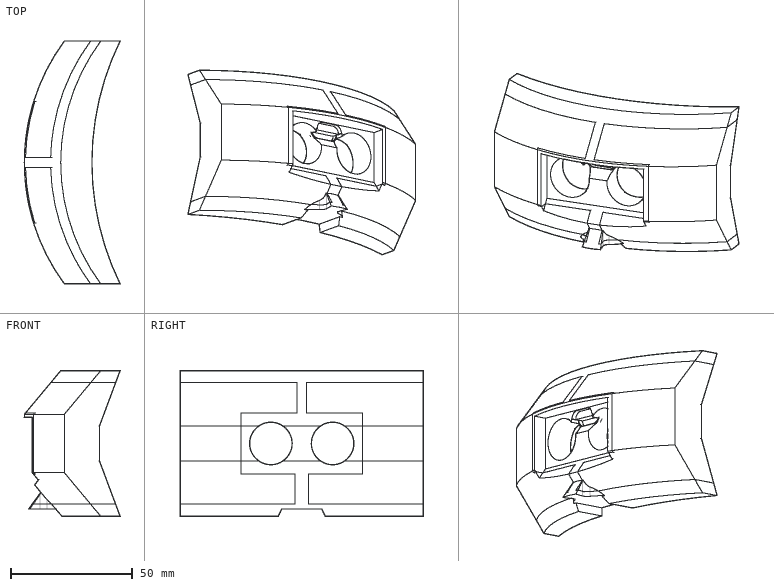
import cadquery as cq
import math

width = 100.0
height = 60.0
half_width = width / 2
half_height = height / 2

outer_radius = 84.0
outer_band_half_height = 12.0
outer_flare = 15.0

inner_radius = 113.5
inner_middle_x = 19.4
inner_band_half_height = 7.2
inner_flare = 8.5

front_limit_x = -10.0
back_limit_x = 60.0

band_edge = 25.0
window_half_width = 25.0
window_half_height = 12.6
upper_web_width = 4.0
lower_web_width = 5.6

pocket_width = 46.1
pocket_half_height = 10.7
pocket_back_x = 9.1
pocket_floor_slope = 0.76
pocket_floor_drop = 12.0
bore_diameter = 17.4
bore_spacing = 25.4

recess_width = 13.1
recess_top = 7.5
recess_wall_bottom = 4.5
recess_bottom = 0.84
recess_depth = recess_wall_bottom - recess_bottom
slot_length = 12.4
slot_height = 5.9
slot_centre_z = 7.55
slot_depth = 2.0

nose_bottom = -27.0
nose_top = -19.0
nose_tip_x = 1.75
ridge_slope = 0.725
ridge_radius = 17.0
ridge_half_width = 4.2
neck_end_x = 10.0
neck_end_half_width = 2.6
neck_fillet = 2.5
nose_barrel_radius = 12.4
nose_barrel_x = 20.8
nose_back_x = 13.2
notch_roof_half_width = 8.2
notch_mouth_half_width = 9.64


def arc_face(front_x, radius, half_span, back_x, z):
    """Level face from an arc bulging toward -X to a straight back edge."""
    end_x = front_x + radius - math.sqrt(radius**2 - half_span**2)
    outline = (
        cq.Workplane("XY", origin=(0, 0, z))
        .moveTo(end_x, -half_span)
        .threePointArc((front_x, 0), (end_x, half_span))
        .lineTo(back_x, half_span)
        .lineTo(back_x, -half_span)
        .close()
    )
    return cq.Face.makeFromWires(outline.val())


def flared_block(middle_x, radius, band_half_height, flare):
    """Everything behind a curved surface that is upright in its middle band and leans back beyond it."""
    flare_height = half_height - band_half_height
    upper_face = arc_face(middle_x, radius, half_width, back_limit_x, band_half_height)
    lower_face = arc_face(middle_x, radius, half_width, back_limit_x, -band_half_height)
    band = cq.Solid.extrudeLinear(lower_face, cq.Vector(0, 0, 2 * band_half_height))
    upper = cq.Solid.extrudeLinear(upper_face, cq.Vector(flare, 0, flare_height))
    lower = cq.Solid.extrudeLinear(lower_face, cq.Vector(flare, 0, -flare_height))
    return cq.Workplane(band).union(cq.Workplane(upper)).union(cq.Workplane(lower))


def block_from_front(end_x, size_y, bottom, top):
    """Block symmetric about the centre plane, running back to end_x from in front of the part."""
    block = cq.Workplane("XY").box(end_x - front_limit_x, size_y, top - bottom, centered=(False, True, False))
    return block.translate((front_limit_x, 0, bottom))


def prism_along_y(points, size_y):
    """Prism with an X-Z outline, symmetric about the centre plane."""
    return cq.Workplane("XZ").polyline(points).close().extrude(size_y / 2, both=True)


def curved_wall():
    outer = flared_block(0, outer_radius, outer_band_half_height, outer_flare)
    inner = flared_block(inner_middle_x, inner_radius, inner_band_half_height, inner_flare)
    bounds = block_from_front(back_limit_x, width, -half_height, half_height)
    return outer.cut(inner).intersect(bounds)


def nose_bridge():
    """Upright neck filleted onto a barrel, cut off in front by a rounded sloping ridge."""
    nose_height = nose_top - nose_bottom
    base = cq.Workplane("XY", origin=(0, 0, nose_bottom))
    barrel = base.center(nose_barrel_x, 0).circle(nose_barrel_radius).extrude(nose_height)
    neck = (
        base.polyline([
            (nose_tip_x, -ridge_half_width),
            (neck_end_x, -neck_end_half_width),
            (neck_end_x, neck_end_half_width),
            (nose_tip_x, ridge_half_width),
        ])
        .close()
        .extrude(nose_height)
    )
    barrel_front_x = nose_barrel_x - nose_barrel_radius
    inner_corners = cq.selectors.BoxSelector(
        (barrel_front_x, -ridge_half_width, nose_bottom), (neck_end_x, ridge_half_width, nose_top)
    )
    plan = barrel.union(neck).edges("|Z").edges(inner_corners).fillet(neck_fillet)
    ridge_face = arc_face(nose_tip_x, ridge_radius, nose_barrel_radius, nose_back_x, nose_bottom)
    behind_ridge = cq.Solid.extrudeLinear(ridge_face, cq.Vector(ridge_slope * nose_height, 0, nose_height))
    front_part = block_from_front(nose_back_x, 2 * nose_barrel_radius, nose_bottom, nose_top)
    return plan.intersect(cq.Workplane(behind_ridge)).intersect(front_part)


def nose_notch():
    """Tapered notch in the bottom edge, open from front to back."""
    outline = [
        (-notch_mouth_half_width, -half_height),
        (-notch_roof_half_width, nose_bottom),
        (notch_roof_half_width, nose_bottom),
        (notch_mouth_half_width, -half_height),
    ]
    return cq.Workplane("YZ").polyline(outline).close().extrude(back_limit_x)


def window_pocket():
    """Flat-backed pocket whose floor slopes down toward the front."""
    floor_front = -pocket_half_height - pocket_floor_drop
    outline = [
        (front_limit_x, pocket_half_height),
        (pocket_back_x, pocket_half_height),
        (pocket_back_x, -pocket_half_height),
        (pocket_back_x - pocket_floor_slope * pocket_floor_drop, floor_front),
        (front_limit_x, floor_front),
    ]
    return prism_along_y(outline, pocket_width)


def bores():
    return (
        cq.Workplane("YZ")
        .pushPoints([(-bore_spacing / 2, 0), (bore_spacing / 2, 0)])
        .circle(bore_diameter / 2)
        .extrude(back_limit_x)
    )


def slot_cutter(depth):
    slot = cq.Workplane("YZ", origin=(pocket_back_x, 0, slot_centre_z)).slot2D(slot_length, slot_height)
    return slot.extrude(depth)


def centre_recess():
    """Recess with a sloping floor in the pocket's back, and a round-ended slot sunk evenly into both."""
    wall_x = pocket_back_x + recess_depth
    outline = [
        (pocket_back_x, recess_top),
        (wall_x, recess_top),
        (wall_x, recess_wall_bottom),
        (pocket_back_x, recess_bottom),
    ]
    below_recess_top = block_from_front(back_limit_x, recess_width, recess_bottom, recess_top)
    shallow_slot = slot_cutter(slot_depth)
    deep_slot = slot_cutter(recess_depth + slot_depth).intersect(below_recess_top)
    return prism_along_y(outline, recess_width).union(shallow_slot).union(deep_slot)


def whole_shell():
    shell = curved_wall().union(nose_bridge())
    return shell.cut(nose_notch()).cut(window_pocket()).cut(bores()).cut(centre_recess())


def centre_region():
    """Front-to-back region of the centre body: two bands joined to the window block by narrow webs."""
    top_band = block_from_front(back_limit_x, width, band_edge, half_height)
    bottom_band = block_from_front(back_limit_x, width, -half_height, -band_edge)
    window = block_from_front(back_limit_x, 2 * window_half_width, -window_half_height, window_half_height)
    upper_web = block_from_front(back_limit_x, upper_web_width, 0, band_edge)
    lower_web = block_from_front(back_limit_x, lower_web_width, -band_edge, 0)
    return window.union(upper_web).union(lower_web).union(top_band).union(bottom_band)


def make_centre_body(shell):
    return shell.intersect(centre_region())


def make_side_body(shell, side):
    """C-shaped body filling one side of the wall around the centre body; side is -1 or 1 along Y."""
    half_centre = (0, side * half_width / 2, 0)
    half = cq.Workplane("XY").box(2 * back_limit_x, half_width, height).translate(half_centre)
    return shell.intersect(half).cut(centre_region())


shell = whole_shell()
centre_body = make_centre_body(shell)
side_bodies = [make_side_body(shell, side) for side in (-1, 1)]

result = cq.Compound.makeCompound(
    centre_body.solids().vals() + [solid for body in side_bodies for solid in body.solids().vals()]
)